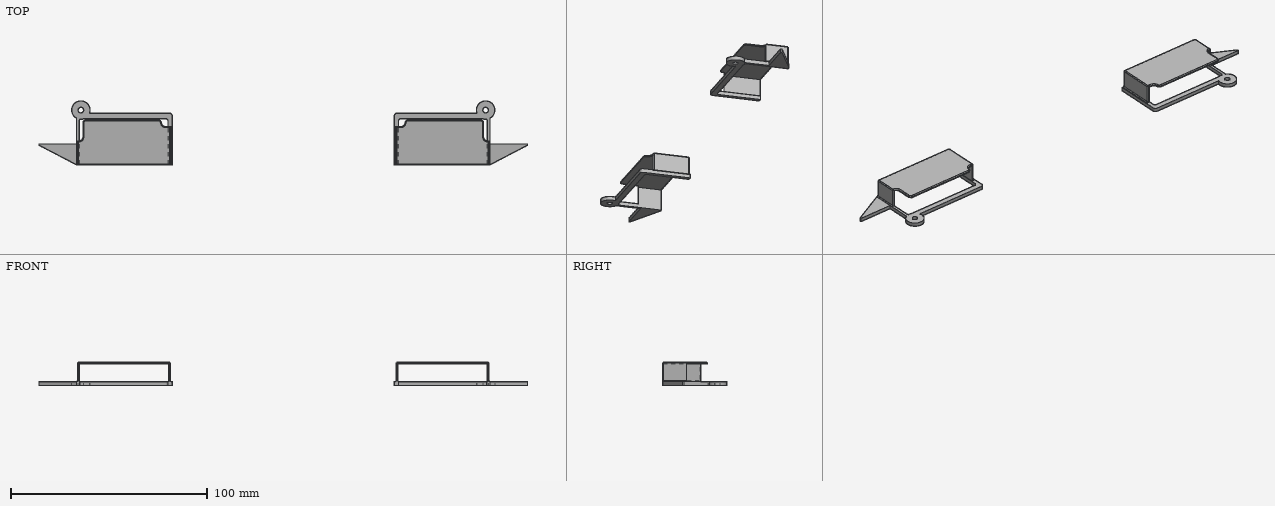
import cadquery as cq

overall_length = 249.3
overall_depth = 32.7
overall_height = 12.0
front = 0.0

base_thickness = 2.0
frame_left = -105.5
frame_right = -56.5
frame_back = 26.5
left_strip_width = 1.5
back_strip_width = 3.0
right_strip_width = 2.2
frame_outer_radius = 1.5
frame_inner_radius = 1.0

ear_diameter = 9.5
ear_hole_diameter = 2.7
ear_x = -103.2
ear_y = overall_depth - ear_diameter / 2

wing_tip_x = -overall_length / 2
wing_back = 10.7
wing_tip_width = 0.7

cover_thickness = 1.0
wall_thickness = 1.0
cover_left = -105.0
cover_right = -57.5
cover_back = 23.0
left_wall_depth = 12.2
right_wall_depth = 19.5
left_notch_x = -102.2
right_notch_x = -62.0
left_notch_fillet = 2.0
right_notch_fillet = 2.2
notch_corner_chamfer = 1.0
edge_chamfer = 0.5


def plan_disc(diameter):
    """Disc of base thickness on the axis of the screw ear."""
    return cq.Workplane("XY").center(ear_x, ear_y).circle(diameter / 2).extrude(base_thickness)


def plan_block(x_min, x_max, y_max):
    """Block of base thickness from the front back to y_max."""
    corner = (x_min, front, 0)
    return cq.Workplane("XY").box(x_max - x_min, y_max - front, base_thickness, centered=False).translate(corner)


def base_frame():
    """U-shaped strip with rounded corners."""
    outer = plan_block(frame_left, frame_right, frame_back)
    outer = outer.edges("|Z and >X and >Y").fillet(frame_outer_radius)
    opening = plan_block(
        frame_left + left_strip_width,
        frame_right - right_strip_width,
        frame_back - back_strip_width,
    )
    opening = opening.edges("|Z and >Y").fillet(frame_inner_radius)
    return outer.cut(opening)


def wing():
    """Triangular wing with a narrow blunt tip."""
    return (
        cq.Workplane("XY")
        .moveTo(frame_left, front)
        .lineTo(frame_left, wing_back)
        .lineTo(wing_tip_x, wing_back)
        .lineTo(wing_tip_x, wing_back - wing_tip_width)
        .close()
        .extrude(base_thickness)
    )


def cover():
    """Plate and walls as one notched block, chamfered outside and hollowed from front to back."""
    block = (
        cq.Workplane("XY")
        .workplane(offset=base_thickness)
        .moveTo(cover_left, front)
        .lineTo(cover_right, front)
        .lineTo(cover_right, right_wall_depth)
        .lineTo(right_notch_x + right_notch_fillet, right_wall_depth)
        .radiusArc((right_notch_x, right_wall_depth + right_notch_fillet), right_notch_fillet)
        .lineTo(right_notch_x, cover_back - notch_corner_chamfer)
        .lineTo(right_notch_x - notch_corner_chamfer, cover_back)
        .lineTo(left_notch_x + notch_corner_chamfer, cover_back)
        .lineTo(left_notch_x, cover_back - notch_corner_chamfer)
        .lineTo(left_notch_x, left_wall_depth + left_notch_fillet)
        .radiusArc((left_notch_x - left_notch_fillet, left_wall_depth), left_notch_fillet)
        .lineTo(cover_left, left_wall_depth)
        .close()
        .extrude(overall_height - base_thickness)
    )
    block = block.edges("|Z and (<Y or >X)").chamfer(edge_chamfer)
    block = block.faces(">Z").chamfer(edge_chamfer)
    tunnel_left = cover_left + wall_thickness
    tunnel_width = cover_right - wall_thickness - tunnel_left
    tunnel_height = overall_height - cover_thickness - base_thickness
    tunnel = cq.Workplane("XY").box(tunnel_width, cover_back, tunnel_height, centered=False)
    return block.cut(tunnel.translate((tunnel_left, front, base_thickness)))


def wall_foot(wall_face, outward, depth):
    """45 degree wedge between the frame and the outer face of a wall; outward is -1 or 1 along X."""
    return (
        cq.Workplane("XZ", origin=(0, front, 0))
        .moveTo(wall_face + outward * edge_chamfer, base_thickness)
        .lineTo(wall_face - outward * edge_chamfer, base_thickness)
        .lineTo(wall_face - outward * edge_chamfer, base_thickness + edge_chamfer)
        .lineTo(wall_face, base_thickness + edge_chamfer)
        .close()
        .extrude(-depth)
    )


def bracket():
    """Complete left bracket as one solid."""
    body = base_frame().union(plan_disc(ear_diameter)).union(wing()).union(cover())
    body = body.union(wall_foot(cover_left, -1, left_wall_depth))
    body = body.union(wall_foot(cover_right, 1, right_wall_depth))
    return body.cut(plan_disc(ear_hole_diameter))


left_bracket = bracket()
right_bracket = left_bracket.mirror("YZ")

result = cq.Compound.makeCompound([left_bracket.val(), right_bracket.val()])